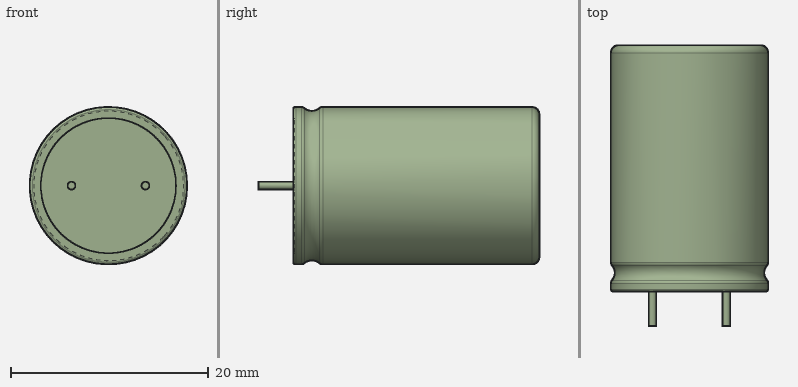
import cadquery as cq
import math

can_diameter = 16.0
can_radius = can_diameter / 2
can_length = 25.0
closed_end_round = 0.8
open_end_round = 0.25

groove_start = 0.83
groove_end = 3.0
groove_depth = 0.4
groove_lip_radius = 0.5

seal_diameter = 13.7
seal_recess = 0.1

overall_length = 28.5
lead_length = overall_length - can_length
lead_diameter = 0.8
lead_pitch = 7.5


def point_on_arc(center, radius, degrees):
    angle = math.radians(degrees)
    return (center[0] + radius * math.cos(angle), center[1] + radius * math.sin(angle))


def make_can():
    """Revolve the half section, drawn as (radius, y), about the Y axis."""
    groove_half_width = (groove_end - groove_start) / 2
    groove_middle = (groove_start + groove_end) / 2
    sweep = 2 * math.degrees(math.atan(groove_depth / groove_half_width))

    lower_lip = (can_radius - groove_lip_radius, groove_start)
    upper_lip = (can_radius - groove_lip_radius, groove_end)
    floor_bottom = (can_radius - groove_depth, groove_middle)

    section = (
        cq.Workplane("XY")
        .moveTo(0, 0)
        .lineTo(can_radius - open_end_round, 0)
        .radiusArc((can_radius, open_end_round), -open_end_round)
        .lineTo(can_radius, groove_start)
        .threePointArc(
            point_on_arc(lower_lip, groove_lip_radius, sweep / 2),
            point_on_arc(lower_lip, groove_lip_radius, sweep),
        )
        .threePointArc(floor_bottom, point_on_arc(upper_lip, groove_lip_radius, -sweep))
        .threePointArc(
            point_on_arc(upper_lip, groove_lip_radius, -sweep / 2),
            (can_radius, groove_end),
        )
        .lineTo(can_radius, can_length - closed_end_round)
        .radiusArc((can_radius - closed_end_round, can_length), -closed_end_round)
        .lineTo(0, can_length)
        .close()
    )
    return section.revolve(360, (0, 0), (0, 1))


def make_seal_recess():
    return cq.Workplane("XZ").circle(seal_diameter / 2).extrude(-seal_recess)


def make_leads():
    """Leads run from the sunk sealing disc out to the -Y end."""
    return (
        cq.Workplane("XZ", origin=(0, seal_recess, 0))
        .pushPoints([(-lead_pitch / 2, 0), (lead_pitch / 2, 0)])
        .circle(lead_diameter / 2)
        .extrude(seal_recess + lead_length)
    )


result = make_can().cut(make_seal_recess()).union(make_leads())